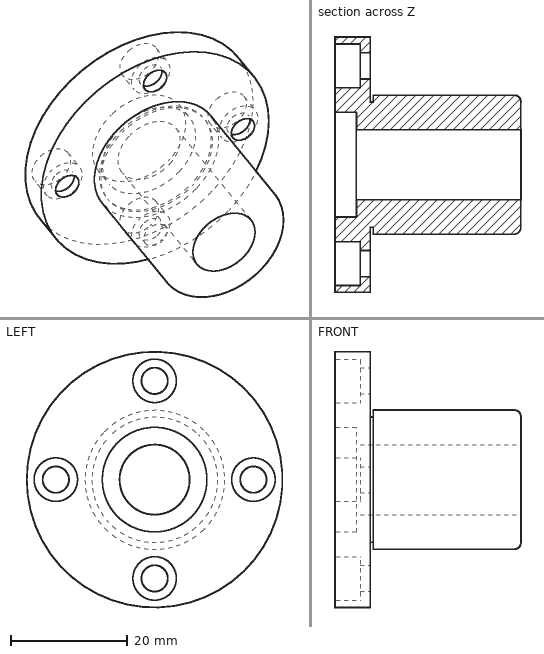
import cadquery as cq

flange_diameter = 44.0
flange_thickness = 6.05

total_length = 32.0
sleeve_diameter = 24.0
sleeve_end_radius = 1.2
neck_diameter = 21.6
neck_length = 0.5

bore_diameter = 12.0
seat_diameter = 18.0
seat_depth = 3.7

hole_count = 4
bolt_circle_diameter = 33.95
hole_diameter = 4.5
counterbore_diameter = 7.5
counterbore_depth = 4.3


def cylinder(diameter, start, length):
    """Return a cylinder along X that begins at X = start."""
    return cq.Workplane("YZ", origin=(start, 0, 0)).circle(diameter / 2).extrude(length)


def make_body():
    """Return the solid flange, neck and round-ended sleeve."""
    sleeve_start = flange_thickness + neck_length
    flange = cylinder(flange_diameter, 0, flange_thickness)
    neck = cylinder(neck_diameter, flange_thickness, neck_length)
    sleeve = cylinder(sleeve_diameter, sleeve_start, total_length - sleeve_start)
    sleeve = sleeve.faces(">X").edges().fillet(sleeve_end_radius)
    return flange.union(neck).union(sleeve)


def make_mounting_holes():
    """Return the cutters for the mounting holes, on the Y and Z axes."""
    hole = cylinder(hole_diameter, 0, flange_thickness)
    counterbore = cylinder(counterbore_diameter, 0, counterbore_depth)
    cutter = hole.union(counterbore).translate((0, bolt_circle_diameter / 2, 0))
    cutters = cq.Workplane("YZ")
    for index in range(hole_count):
        angle = index * 360 / hole_count
        cutters = cutters.add(cutter.rotate((0, 0, 0), (1, 0, 0), angle))
    return cutters.combine()


bore = cylinder(bore_diameter, 0, total_length)
seat = cylinder(seat_diameter, 0, seat_depth)
result = make_body().cut(bore).cut(seat).cut(make_mounting_holes())